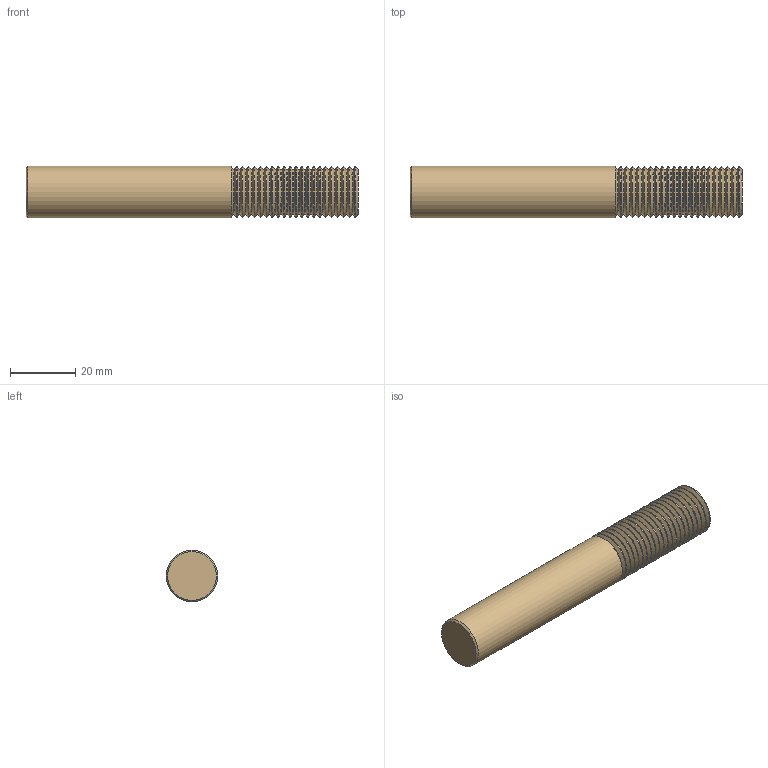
import cadquery as cq

length = 101.6
diameter = 15.875
radius = diameter / 2
end_chamfer = 0.5

threads_per_inch = 14
pitch = 25.4 / threads_per_inch
ring_count = 21
crest_flat = 0.198
root_flat = 0.325
thread_depth = 1.146
flank_width = (pitch - crest_flat - root_flat) / 2
root_radius = radius - thread_depth
end_land = 0.087

free_end = -length / 2
thread_end = length / 2
last_crest = thread_end - end_land - flank_width - crest_flat / 2
first_crest = last_crest - (ring_count - 1) * pitch
shank_end = first_crest - pitch + crest_flat / 2


def ring_points(crest):
    """Trapezoid outline of one thread ring centred on the given X position."""
    crest_start = crest - crest_flat / 2
    crest_end = crest + crest_flat / 2
    return [
        (crest_start - flank_width, root_radius),
        (crest_start, radius),
        (crest_end, radius),
        (crest_end + flank_width, root_radius),
    ]


def stud_half_profile():
    """Half section of the stud, from the axis out to the ring crests."""
    points = [
        (free_end, 0),
        (free_end, radius - end_chamfer),
        (free_end + end_chamfer, radius),
        (shank_end, radius),
        (shank_end + flank_width, root_radius),
    ]
    for ring in range(ring_count):
        points += ring_points(first_crest + ring * pitch)
    points.append((thread_end, root_radius))
    points.append((thread_end, 0))
    return cq.Workplane("XZ").polyline(points).close()


result = stud_half_profile().revolve(360, (0, 0, 0), (1, 0, 0))